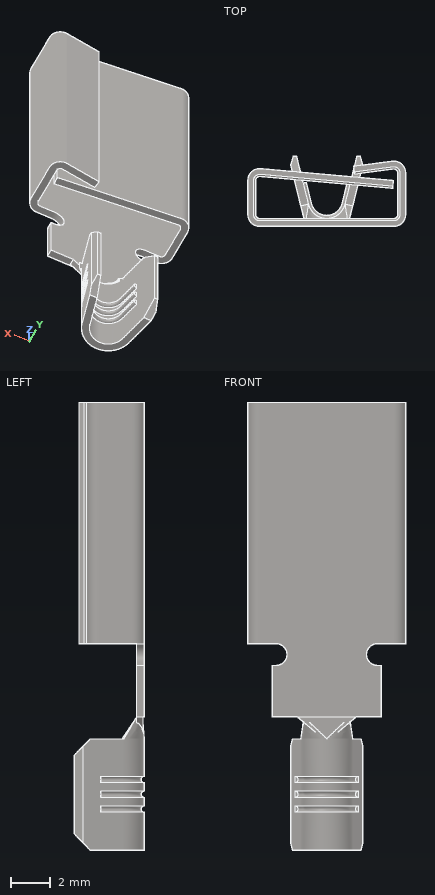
import cadquery as cq
import math


total_length = 22.6
sheet = 0.4

socket_width = 7.98
socket_bottom = 10.42
corner_radius = 0.6
inner_radius = corner_radius - sheet
left_corner_height = 2.98
right_corner_height = 3.4
tongue_angle = 5.1
tongue_tip = 3.37
flap_angle = 7.5
flap_tip = 1.35
lead_in_depth = 0.45
lead_in_width = 0.11

neck_width = 5.52
neck_bottom = 6.74
notch_radius = 0.55
notch_gap = 4.02
neck_overlap = 0.23

barrel_length = 5.63
barrel_depth = 3.55
barrel_radius = 1.35
wing_lean = math.radians(13.8)
floor_turn = math.pi / 2 - wing_lean
wing_bevel_start = 3.1
wing_tip_half_width = 1.7
wing_corner_depth = 0.81
wing_corner_length = 0.84

groove_radius = 0.15
groove_end = 2.2
groove_middle = 2.83
groove_pitch = 0.75

web_top_width = 3.0
web_bottom_width = 0.32
web_setback = 0.07
cheek_top_x = 1.15
cheek_top_width = 0.11
cheek_top_front = 0.1
cheek_top_back = 0.38


def inset_corner(before, corner, after, distance):
    """Point on the left of both segments of a bend, at the given distance from each."""
    start = math.atan2(corner[1] - before[1], corner[0] - before[0])
    end = math.atan2(after[1] - corner[1], after[0] - corner[0])
    middle = (start + (end - start) % (2 * math.pi) / 2) + math.pi / 2
    reach = distance / math.cos(middle - math.pi / 2 - start)
    return (corner[0] + reach * math.cos(middle), corner[1] + reach * math.sin(middle))


def inset_end(inner, end, outward, distance):
    """Point square across the strip from its free end."""
    direction = math.atan2(outward * (end[1] - inner[1]), outward * (end[0] - inner[0]))
    return (end[0] - distance * math.sin(direction), end[1] + distance * math.cos(direction))


def make_socket():
    half = socket_width / 2
    tongue_drop = (tongue_tip + half) * math.tan(math.radians(tongue_angle))
    flap_drop = (half - flap_tip) * math.tan(math.radians(flap_angle))
    outer = [
        (tongue_tip, left_corner_height - tongue_drop),
        (-half, left_corner_height),
        (-half, 0),
        (half, 0),
        (half, right_corner_height),
        (flap_tip, right_corner_height - flap_drop),
    ]
    inner_bends = [inset_corner(*outer[i - 1:i + 2], sheet) for i in range(1, 5)]
    tongue_end = inset_end(outer[1], outer[0], -1, sheet)
    flap_end = inset_end(outer[4], outer[5], 1, sheet)
    inner = [tongue_end] + inner_bends + [flap_end]

    socket = (
        cq.Workplane("XY", origin=(0, 0, socket_bottom))
        .polyline(outer + inner[::-1]).close()
        .extrude(total_length - socket_bottom)
    )
    for bends, radius in ((outer[1:5], corner_radius), (inner_bends, inner_radius)):
        for x, y in bends:
            mid_height = (socket_bottom + total_length) / 2
            socket = socket.edges(cq.NearestToPointSelector((x, y, mid_height))).fillet(radius)
    return cut_lead_in(socket)


def cut_lead_in(socket):
    """Steep chamfer along the inner edge of the socket mouth."""
    floor_edge = cq.NearestToPointSelector((0, sheet, total_length))
    return socket.edges(floor_edge).chamfer(lead_in_depth, lead_in_width)


def make_neck():
    """Flat neck; each notch is a round-ended slot, open to the side, just below the socket."""
    notch_x = notch_gap / 2 + notch_radius
    notch_z = socket_bottom - notch_radius
    half = neck_width / 2
    return (
        cq.Workplane("XZ")
        .moveTo(-half, neck_bottom)
        .lineTo(half, neck_bottom)
        .lineTo(half, notch_z - notch_radius)
        .lineTo(notch_x, notch_z - notch_radius)
        .threePointArc((notch_gap / 2, notch_z), (notch_x, socket_bottom))
        .lineTo(notch_x, socket_bottom + neck_overlap)
        .lineTo(-notch_x, socket_bottom + neck_overlap)
        .lineTo(-notch_x, socket_bottom)
        .threePointArc((-notch_gap / 2, notch_z), (-notch_x, notch_z - notch_radius))
        .lineTo(-half, notch_z - notch_radius)
        .close()
        .extrude(-sheet)
    )


def floor_point(radius, turn):
    """Point on the rounded barrel floor, turned up from the middle of the floor."""
    return (radius * math.sin(turn), barrel_radius - radius * math.cos(turn))


def floor_end(radius):
    """Right-hand end of the rounded floor, where the straight wing begins."""
    return floor_point(radius, floor_turn)


def wing_x(radius, y):
    """X of the right wing face that continues the rounded floor of this radius."""
    x, start_y = floor_end(radius)
    return x + (y - start_y) * math.tan(wing_lean)


def make_barrel():
    inner = barrel_radius - sheet
    ox, oy = floor_end(barrel_radius)
    ix, iy = floor_end(inner)
    bevel_x = wing_x(barrel_radius, wing_bevel_start)
    tip_x = wing_x(inner, barrel_depth)
    barrel = (
        cq.Workplane("XY")
        .moveTo(-ox, oy)
        .threePointArc((0, 0), (ox, oy))
        .lineTo(bevel_x, wing_bevel_start)
        .lineTo(wing_tip_half_width, barrel_depth)
        .lineTo(tip_x, barrel_depth)
        .lineTo(ix, iy)
        .threePointArc((0, sheet), (-ix, iy))
        .lineTo(-tip_x, barrel_depth)
        .lineTo(-wing_tip_half_width, barrel_depth)
        .lineTo(-bevel_x, wing_bevel_start)
        .close()
        .extrude(barrel_length)
    )
    side = (
        cq.Workplane("YZ")
        .polyline([
            (0, 0),
            (barrel_depth - wing_corner_depth, 0),
            (barrel_depth, wing_corner_length),
            (barrel_depth, barrel_length - wing_corner_length),
            (barrel_depth - wing_corner_depth, barrel_length),
            (0, barrel_length),
        ]).close()
        .extrude(socket_width / 2, both=True)
    )
    return barrel.intersect(side)


def serration(radius, z):
    """Round bar that follows the barrel wall at the given floor radius."""
    x, y = floor_end(radius)
    end_x = wing_x(radius, groove_end)
    path = (
        cq.Workplane("XY", origin=(0, 0, z))
        .moveTo(-end_x, groove_end)
        .lineTo(-x, y)
        .threePointArc((0, barrel_radius - radius), (x, y))
        .lineTo(end_x, groove_end)
    )
    lean = (math.sin(wing_lean), -math.cos(wing_lean), 0)
    section = cq.Workplane(cq.Plane((-end_x, groove_end, z), (0, 0, 1), lean))
    return section.circle(groove_radius).sweep(path)


def make_transition():
    height = neck_bottom - barrel_length
    web = (
        cq.Workplane("XZ", origin=(0, web_setback, 0))
        .polyline([
            (-web_top_width / 2, neck_bottom),
            (web_top_width / 2, neck_bottom),
            (web_bottom_width / 2, barrel_length),
            (-web_bottom_width / 2, barrel_length),
        ]).close()
        .extrude(web_setback - sheet)
    )
    inner = barrel_radius - sheet
    mid_turn = floor_turn / 2
    cheek = (
        cq.Workplane("XY", origin=(0, 0, barrel_length))
        .moveTo(*floor_point(barrel_radius, 0))
        .threePointArc(floor_point(barrel_radius, mid_turn), floor_end(barrel_radius))
        .lineTo(*floor_end(inner))
        .threePointArc(floor_point(inner, mid_turn), floor_point(inner, 0))
        .close()
        .workplane(offset=height)
        .moveTo(cheek_top_x - cheek_top_width, cheek_top_front)
        .lineTo(cheek_top_x, cheek_top_front)
        .lineTo(cheek_top_x, cheek_top_back)
        .lineTo(cheek_top_x - cheek_top_width, cheek_top_back)
        .close()
        .loft(ruled=True)
    )
    return web.union(cheek).union(cheek.mirror("YZ"))


barrel = make_barrel()
for step in (-1, 0, 1):
    z = groove_middle + step * groove_pitch
    barrel = barrel.union(serration(barrel_radius - sheet, z))
    barrel = barrel.cut(serration(barrel_radius, z))

result = make_socket().union(make_neck()).union(make_transition()).union(barrel)